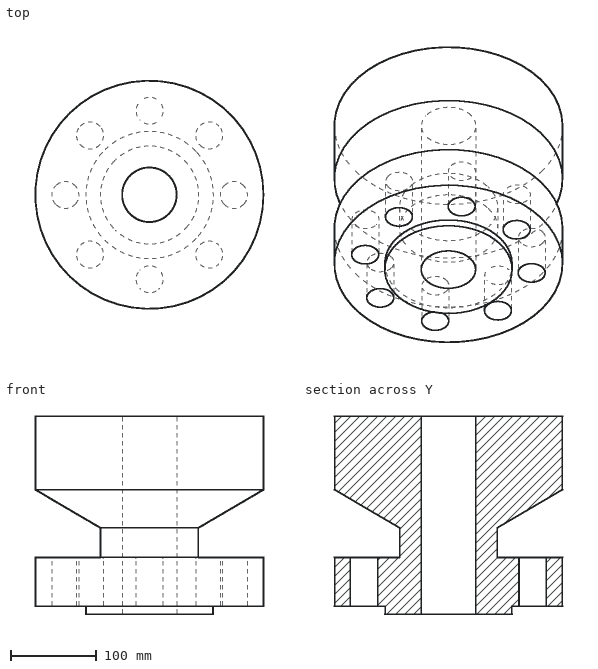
import cadquery as cq

outer_diameter = 266.5
neck_diameter = 114.7
raised_face_diameter = 148.8
bore_diameter = 63.5

raised_face_height = 9.3
flange_height = 57.3
neck_height = 34.5
cone_height = 44.5
drum_height = 86.0

bolt_count = 8
bolt_hole_diameter = 31.5
bolt_circle_diameter = 196.8

flange_bottom = raised_face_height
flange_top = flange_bottom + flange_height
cone_bottom = flange_top + neck_height
cone_top = cone_bottom + cone_height
drum_top = cone_top + drum_height


def revolved_body():
    """Solid of revolution: raised face, flange, neck, cone and drum."""
    outer_radius = outer_diameter / 2
    neck_radius = neck_diameter / 2
    raised_face_radius = raised_face_diameter / 2
    return (
        cq.Workplane("XZ")
        .moveTo(0, 0)
        .lineTo(raised_face_radius, 0)
        .lineTo(raised_face_radius, flange_bottom)
        .lineTo(outer_radius, flange_bottom)
        .lineTo(outer_radius, flange_top)
        .lineTo(neck_radius, flange_top)
        .lineTo(neck_radius, cone_bottom)
        .lineTo(outer_radius, cone_top)
        .lineTo(outer_radius, drum_top)
        .lineTo(0, drum_top)
        .close()
        .revolve(360, (0, 0, 0), (0, 1, 0))
    )


def bore():
    """Central hole through the full height."""
    return cq.Workplane("XY").circle(bore_diameter / 2).extrude(drum_top)


def bolt_holes():
    """Evenly spaced holes through the flange, one of them on the +X axis."""
    return (
        cq.Workplane("XY")
        .workplane(offset=flange_bottom)
        .polarArray(bolt_circle_diameter / 2, 0, 360, bolt_count)
        .circle(bolt_hole_diameter / 2)
        .extrude(flange_height)
    )


result = revolved_body().cut(bore()).cut(bolt_holes())